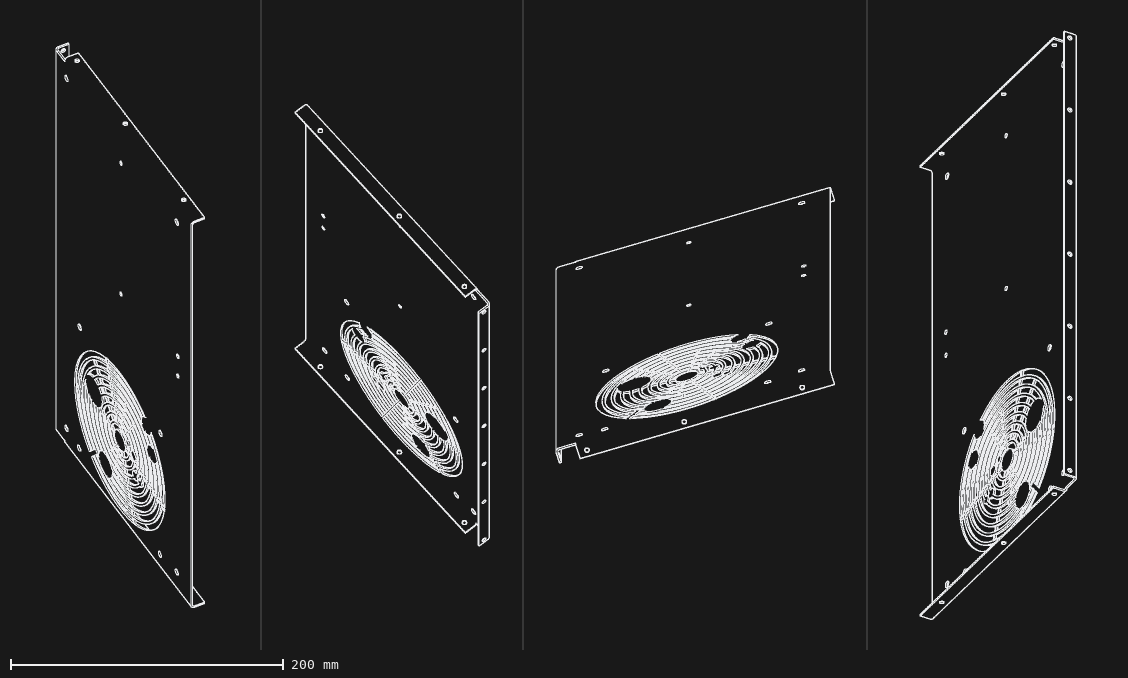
import cadquery as cq
import math

WIDTH = 211.0
DEPTH = 11.5
HEIGHT = 396.8
SHEET = 1.5
BEND_RADIUS = 3.0

SIDE_FLANGE_HALF_LENGTH = 195.0
END_FLANGE_START_X = -89.5

FLANGE_HOLE_DIAMETER = 3.35
FLANGE_HOLE_Y = 6.7
SIDE_HOLE_COUNT = 7
SIDE_HOLE_PITCH = 63.5
END_HOLE_XS = (-83.0, -8.5, 82.0)
MOUNT_HOLE_DIAMETER = 4.8
CORNER_HOLE_XS = (-87.0, 83.7)
CORNER_HOLE_Z = 179.8
SMALL_HOLE_DIAMETER = 3.1
SMALL_HOLES = ((-2.8, 165.5), (-2.8, 31.0), (85.5, 23.0))
PILOT_HOLE_DIAMETER = 3.35
PILOT_HOLE = (85.5, 43.3)

FAN_X = -4.5
FAN_Z = -121.0
HUB_RADIUS = 8.7
OUTER_RADIUS = 70.0
SLOT_WIDTH = 4.8
SLOT_COUNT = 9
RING_PITCH = (OUTER_RADIUS - SLOT_WIDTH - HUB_RADIUS) / (SLOT_COUNT - 1)
FAN_HOLE_SPACING = 125.0
FAN_HOLE_TILT = -0.4

SPOKE_WIDTH = 1.4
SPOKES = (
    (58.5, 1, 4),
    (79.5, 0, 5),
    (108, 1, 8),
    (130, 1, 7),
    (169.5, 0, 2),
    (238.5, 0, 2),
    (259, 0, 3),
    (266.5, 4, 4),
    (288.5, 0, 8),
    (350, 0, 8),
)
WIDE_SPOKE_WIDTH = 4.0
WIDE_SPOKE = (229.5, 7, 8)

PADS = (
    (-40.0, 16.3, 13.0),
    (-22.2, -43.5, 10.7),
    (41.0, 50.5, 7.5),
    (49.5, 29.0, 7.5),
    (21.0, 2.8, 4.0),
    (12.0, 7.5, 2.8),
    (23.5, -16.0, 4.0),
    (31.0, -17.0, 3.0),
)


def slot_inner_radius(index):
    """Inner radius of a grille slot, counted outwards from the hub."""
    return HUB_RADIUS + index * RING_PITCH


def y_cylinder(x, z, radius):
    """Cylinder along Y through the sheet."""
    plane = cq.Plane((x, 0, z), xDir=(1, 0, 0), normal=(0, 1, 0))
    return cq.Workplane(plane).circle(radius).extrude(SHEET)


def side_channel():
    """Panel with the left flange, an L-shaped profile run along Z."""
    left = -WIDTH / 2
    return (
        cq.Workplane("XY", origin=(0, 0, -SIDE_FLANGE_HALF_LENGTH))
        .moveTo(WIDTH / 2, 0)
        .lineTo(left + BEND_RADIUS, 0)
        .radiusArc((left, BEND_RADIUS), BEND_RADIUS)
        .lineTo(left, DEPTH)
        .lineTo(left + SHEET, DEPTH)
        .lineTo(left + SHEET, BEND_RADIUS)
        .radiusArc((left + BEND_RADIUS, SHEET), -(BEND_RADIUS - SHEET))
        .lineTo(WIDTH / 2, SHEET)
        .close()
        .extrude(2 * SIDE_FLANGE_HALF_LENGTH)
    )


def top_flange():
    """Flange bent back along the top edge, starting where the flat panel ends."""
    top = HEIGHT / 2
    return (
        cq.Workplane("YZ", origin=(END_FLANGE_START_X, 0, 0))
        .moveTo(0, SIDE_FLANGE_HALF_LENGTH)
        .lineTo(0, top - BEND_RADIUS)
        .radiusArc((BEND_RADIUS, top), BEND_RADIUS)
        .lineTo(DEPTH, top)
        .lineTo(DEPTH, top - SHEET)
        .lineTo(BEND_RADIUS, top - SHEET)
        .radiusArc((SHEET, top - BEND_RADIUS), -(BEND_RADIUS - SHEET))
        .lineTo(SHEET, SIDE_FLANGE_HALF_LENGTH)
        .close()
        .extrude(WIDTH / 2 - END_FLANGE_START_X)
    )


def spoke(angle, first_slot, last_slot, width):
    """Radial bar crossing the given slots, its ends buried in the rings beside them."""
    overlap = (RING_PITCH - SLOT_WIDTH) / 2
    start = slot_inner_radius(first_slot) - overlap
    end = slot_inner_radius(last_slot) + SLOT_WIDTH + overlap
    bar = cq.Workplane("XY").box(end - start, SHEET, width, centered=(False, False, True))
    bar = bar.translate((start, 0, 0)).rotate((0, 0, 0), (0, 1, 0), -angle)
    return bar.translate((FAN_X, 0, FAN_Z))


def grille_openings():
    """Ring slots with the spokes and the pads taken out of them."""
    openings = cq.Workplane("XY")
    for index in range(SLOT_COUNT):
        inner = slot_inner_radius(index)
        ring = y_cylinder(FAN_X, FAN_Z, inner + SLOT_WIDTH).cut(y_cylinder(FAN_X, FAN_Z, inner))
        openings = openings.add(ring)
    openings = openings.combine()
    for angle, first_slot, last_slot in SPOKES:
        openings = openings.cut(spoke(angle, first_slot, last_slot, SPOKE_WIDTH))
    openings = openings.cut(spoke(*WIDE_SPOKE, WIDE_SPOKE_WIDTH))
    for x, z, radius in PADS:
        openings = openings.cut(y_cylinder(FAN_X + x, FAN_Z + z, radius))
    return openings


def drill_panel(body):
    """Round holes through the flat panel."""
    for x in CORNER_HOLE_XS:
        for z in (-CORNER_HOLE_Z, CORNER_HOLE_Z):
            body = body.cut(y_cylinder(x, z, MOUNT_HOLE_DIAMETER / 2))
    reach = FAN_HOLE_SPACING / math.sqrt(2)
    for corner in range(4):
        angle = math.radians(45 + 90 * corner + FAN_HOLE_TILT)
        x = FAN_X + reach * math.cos(angle)
        z = FAN_Z + reach * math.sin(angle)
        body = body.cut(y_cylinder(x, z, MOUNT_HOLE_DIAMETER / 2))
    for x, z in SMALL_HOLES:
        body = body.cut(y_cylinder(x, z, SMALL_HOLE_DIAMETER / 2))
    return body.cut(y_cylinder(*PILOT_HOLE, PILOT_HOLE_DIAMETER / 2))


def drill_flanges(body):
    """Rows of holes through the side flange and through both end flanges."""
    side_row = (
        cq.Workplane("YZ", origin=(-WIDTH / 2, FLANGE_HOLE_Y, 0))
        .rarray(4, SIDE_HOLE_PITCH, 1, SIDE_HOLE_COUNT)
        .circle(FLANGE_HOLE_DIAMETER / 2)
        .extrude(SHEET)
    )
    end_rows = (
        cq.Workplane("XY", origin=(0, FLANGE_HOLE_Y, -HEIGHT / 2))
        .pushPoints([(x, 0) for x in END_HOLE_XS])
        .circle(FLANGE_HOLE_DIAMETER / 2)
        .extrude(HEIGHT)
    )
    return body.cut(side_row).cut(end_rows)


panel = side_channel().union(top_flange()).union(top_flange().mirror("XY"))
panel = panel.cut(grille_openings())
panel = drill_panel(panel)
result = drill_flanges(panel)